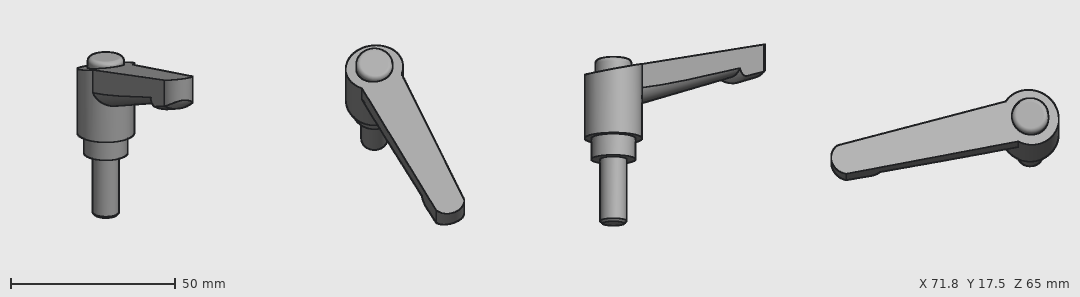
import cadquery as cq
import math

STUD_RADIUS = 4.1
STUD_CHAMFER = 0.8
COLLAR_RADIUS = 6.75
COLLAR_BOTTOM = 19.95
HUB_RADIUS = 8.75
HUB_BOTTOM = 26.5
BUTTON_RADIUS = 5.6
BUTTON_TOP = 51.0
BUTTON_FILLET = 1.4

TOTAL_LENGTH = 71.75
TOTAL_HEIGHT = 65.0
TOP_ANGLE = 15.1
TIP_X = TOTAL_LENGTH - HUB_RADIUS
TOP_LOW = TOTAL_HEIGHT - TOTAL_LENGTH * math.tan(math.radians(TOP_ANGLE))

NOSE_LENGTH = 3.2
NOSE_HALF_WIDTH = 4.65
SIDE_TAPER = 2.0
NOSE_X = TIP_X - NOSE_LENGTH
ROOT_HALF_WIDTH = NOSE_HALF_WIDTH + NOSE_X * math.tan(math.radians(SIDE_TAPER))

AXIS_ANGLE = 20.0
AXIS_START_Z = TOTAL_HEIGHT - TIP_X * math.tan(math.radians(AXIS_ANGLE))
GRIP_RADIUS = 6.8
PAD_STEP = 2.15
PAD_RADIUS = GRIP_RADIUS + PAD_STEP
PAD_START = 50.65
PAD_END = 60.85
TIP_ROUND_MIDDLE = (63.0, 8.0)
TIP_ROUND_END = (64.65, 6.5)
UNDERSIDE_LENGTH = 78.9


def cylinder(radius, bottom, top):
    return cq.Workplane("XY").workplane(offset=bottom).circle(radius).extrude(top - bottom)


def below_top_face():
    """Full-width wedge whose upper side is the sloped top face."""
    return (
        cq.Workplane("XZ")
        .moveTo(-HUB_RADIUS, 0)
        .lineTo(TIP_X, 0)
        .lineTo(TIP_X, TOTAL_HEIGHT)
        .lineTo(-HUB_RADIUS, TOP_LOW)
        .close()
        .extrude(HUB_RADIUS, both=True)
    )


def arm_plan():
    return (
        cq.Workplane("XY")
        .moveTo(0, -ROOT_HALF_WIDTH)
        .lineTo(NOSE_X, -NOSE_HALF_WIDTH)
        .threePointArc((TIP_X, 0), (NOSE_X, NOSE_HALF_WIDTH))
        .lineTo(0, ROOT_HALF_WIDTH)
        .close()
        .extrude(TOTAL_HEIGHT)
    )


def arm_underside():
    """Turned grip and finger pad, with open space above the turning axis."""
    round_height = PAD_STEP * math.sin(math.radians(45))
    turned = (
        cq.Workplane("XY")
        .lineTo(0, GRIP_RADIUS)
        .lineTo(PAD_START, GRIP_RADIUS)
        .threePointArc(
            (PAD_START + PAD_STEP - round_height, GRIP_RADIUS + round_height),
            (PAD_START + PAD_STEP, PAD_RADIUS),
        )
        .lineTo(PAD_END, PAD_RADIUS)
        .threePointArc(TIP_ROUND_MIDDLE, TIP_ROUND_END)
        .lineTo(UNDERSIDE_LENGTH, TIP_ROUND_END[1])
        .lineTo(UNDERSIDE_LENGTH, 0)
        .close()
        .revolve(360, (0, 0, 0), (1, 0, 0))
    )
    above_axis = cq.Workplane("XY").box(
        UNDERSIDE_LENGTH, 2 * HUB_RADIUS, TOTAL_HEIGHT, centered=(False, True, False)
    )
    return (
        turned.union(above_axis)
        .rotate((0, 0, 0), (0, 1, 0), -AXIS_ANGLE)
        .translate((0, 0, AXIS_START_Z))
    )


stud = cylinder(STUD_RADIUS, 0, COLLAR_BOTTOM).faces("<Z").chamfer(STUD_CHAMFER)
collar = cylinder(COLLAR_RADIUS, COLLAR_BOTTOM, HUB_BOTTOM)
hub = cylinder(HUB_RADIUS, HUB_BOTTOM, TOTAL_HEIGHT).intersect(below_top_face())
button = cylinder(BUTTON_RADIUS, HUB_BOTTOM, BUTTON_TOP).faces(">Z").edges().fillet(BUTTON_FILLET)
arm = arm_plan().intersect(below_top_face()).intersect(arm_underside())

result = hub.union(arm).union(collar).union(stud).union(button)